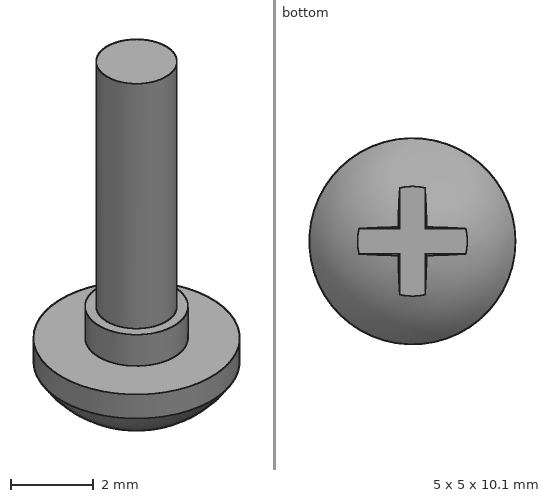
import cadquery as cq

shank_diameter = 1.96
shank_length = 7.1
collar_diameter = 2.49
collar_height = 0.91
head_diameter = 5.0
rim_height = 0.7
dome_height = 1.43

slot_mouth_width = 0.7
slot_floor_width = 0.62
slot_depth = 0.28
overall_length = 10.1

collar_top = -shank_length
rim_top = collar_top - collar_height
rim_bottom = rim_top - rim_height
dome_apex = rim_bottom - dome_height
mouth_level = -overall_length
floor_level = mouth_level + slot_depth

shank_radius = shank_diameter / 2
collar_radius = collar_diameter / 2
head_radius = head_diameter / 2


def make_body():
    """Revolve the shank, collar, rim and spherical dome as one profile."""
    sphere_radius = (head_radius**2 + dome_height**2) / (2 * dome_height)
    sphere_center = dome_apex + sphere_radius
    arc_mid_radius = head_radius / 2
    arc_mid_level = sphere_center - (sphere_radius**2 - arc_mid_radius**2) ** 0.5
    return (
        cq.Workplane("XZ")
        .lineTo(shank_radius, 0)
        .lineTo(shank_radius, collar_top)
        .lineTo(collar_radius, collar_top)
        .lineTo(collar_radius, rim_top)
        .lineTo(head_radius, rim_top)
        .lineTo(head_radius, rim_bottom)
        .threePointArc((arc_mid_radius, arc_mid_level), (0, dome_apex))
        .close()
        .revolve(360, (0, 0), (0, 1))
    )


def make_slot(plane):
    """Straight slot across the head, with walls that spread towards its mouth."""
    spread_per_depth = (slot_mouth_width - slot_floor_width) / (2 * slot_depth)
    cut_end = dome_apex - slot_depth
    end_half_width = slot_floor_width / 2 + spread_per_depth * (floor_level - cut_end)
    return (
        cq.Workplane(plane)
        .moveTo(-slot_floor_width / 2, floor_level)
        .lineTo(slot_floor_width / 2, floor_level)
        .lineTo(end_half_width, cut_end)
        .lineTo(-end_half_width, cut_end)
        .close()
        .extrude(head_radius, both=True)
    )


result = make_body()
for slot_plane in ("XZ", "YZ"):
    result = result.cut(make_slot(slot_plane))